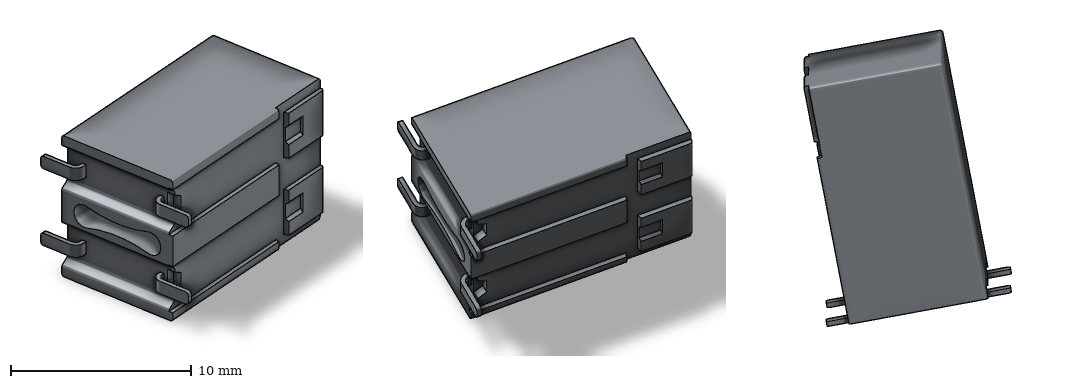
import cadquery as cq
import math

body_width = 7.84
body_length = 13.6
body_height = 9.2
edge_radius = 0.2
front = 0
right_side = body_width / 2

row_pitch = 5.01
row_heights = (-row_pitch / 2, row_pitch / 2)

channel_depth = 0.53
channel_mouth_half = 1.41
channel_floor_half = 1.05
channel_floor_radius = 0.25
channel_mouth_radius = 0.18

side_depth = 0.28
side_recess_half = 1.51
slot_front_outer = 9.53
slot_front_inner = 9.6
slot_rear_inner = 10.32
slot_rear_outer = 10.42
pad_gap = 0.08

groove_depth = 0.18
groove_length = 1.38
groove_outer_half = 0.62
groove_inner_half = 0.46

pocket_width = 0.51
pocket_mouth_half = 0.8
pocket_floor_half = 0.48
pocket_depth = 0.55

dumbbell_half_length = 3.06
dumbbell_end_radius = 0.72
dumbbell_waist_half = 0.4
dumbbell_drop = 0.1
dumbbell_depth = 2.08

pin_span = 10.4
pin_height = 0.8
pin_thickness = 0.28
pin_bend_radius = 0.32
pin_corner_radius = 0.2
pin_leg_inner_x = 2.6
pin_projection = 0.25
pin_embed = 0.28

overrun = 0.14


def box_between(x_range, y_range, z_range):
    """Box given by its lower and upper limit along each axis."""
    sizes = [high - low for low, high in (x_range, y_range, z_range)]
    corner = (x_range[0], y_range[0], z_range[0])
    return cq.Workplane("XY").box(*sizes, centered=False).translate(corner)


def make_body():
    """Block with every edge rounded except those around the front face."""
    body = cq.Workplane("XY").box(body_width, body_length, body_height)
    body = body.translate((0, front + body_length / 2, 0))
    return body.edges("not <Y").fillet(edge_radius)


def make_channel(row_z):
    """Flared channel across the full width, with rounded floor and lips."""
    strip_half = channel_mouth_half + 2 * channel_mouth_radius
    profile = [
        (front - overrun, -strip_half),
        (front, -strip_half),
        (front, -channel_mouth_half),
        (channel_depth, -channel_floor_half),
        (channel_depth, channel_floor_half),
        (front, channel_mouth_half),
        (front, strip_half),
        (front - overrun, strip_half),
    ]
    channel = (
        cq.Workplane("YZ")
        .polyline(profile)
        .close()
        .extrude(body_width / 2 + overrun, both=True)
    )
    for edge_y, edge_z, radius in (
        (channel_depth, channel_floor_half, channel_floor_radius),
        (front, channel_mouth_half, channel_mouth_radius),
    ):
        for side_z in (-edge_z, edge_z):
            corner = cq.selectors.NearestToPointSelector((0, edge_y, side_z))
            channel = channel.edges(corner).fillet(radius)
    return channel.translate((0, 0, row_z))


def make_side_slot():
    """Cross slot with flared ends, running the full height of the right side."""
    outer_x = right_side
    inner_x = right_side - side_depth
    return (
        cq.Workplane("XY")
        .moveTo(inner_x, slot_front_inner)
        .lineTo(outer_x, slot_front_outer)
        .lineTo(outer_x, slot_rear_outer)
        .lineTo(inner_x, slot_rear_inner)
        .close()
        .extrude(body_height / 2 + overrun, both=True)
    )


def make_side_cut():
    """Everything removed from the right side: slot, row recesses, surround of the rear pads."""
    layer_x = (right_side - side_depth, right_side + overrun)
    rear_y = (slot_rear_inner, body_length + overrun)
    all_z = (-body_height / 2 - overrun, body_height / 2 + overrun)
    cut = make_side_slot()
    rear_cut = box_between(layer_x, rear_y, all_z)
    for row_z in row_heights:
        low, high = row_z - side_recess_half, row_z + side_recess_half
        recess_y = (front - overrun, slot_front_outer + overrun)
        cut = cut.union(box_between(layer_x, recess_y, (low, high)))
        rear_cut = rear_cut.cut(
            box_between(layer_x, rear_y, (low, high - pad_gap))
        )
    return cut.union(rear_cut)


def make_pad_groove(row_z):
    """Trapezoidal groove, widest at the outer face of the pad."""
    inner_x = right_side - groove_depth
    end_y = slot_rear_inner + groove_length
    return (
        cq.Workplane("XZ", origin=(0, end_y, row_z))
        .moveTo(right_side, -groove_outer_half)
        .lineTo(right_side, groove_outer_half)
        .lineTo(inner_x, groove_inner_half)
        .lineTo(inner_x, -groove_inner_half)
        .close()
        .extrude(groove_length)
    )


def make_pocket(row_z):
    """Pocket in the channel floor that narrows with depth and opens to the right."""
    outer_x = right_side - side_depth
    return (
        cq.Workplane("YZ", origin=(outer_x - pocket_width, channel_depth, row_z))
        .moveTo(0, -pocket_mouth_half)
        .lineTo(0, pocket_mouth_half)
        .lineTo(pocket_depth, pocket_floor_half)
        .lineTo(pocket_depth, -pocket_floor_half)
        .close()
        .extrude(pocket_width)
    )


def make_dumbbell():
    """Two round ends joined by concave arcs tangent to both of them."""
    end_x = dumbbell_half_length - dumbbell_end_radius
    waist_radius = (end_x**2 + dumbbell_waist_half**2 - dumbbell_end_radius**2) / (
        2 * (dumbbell_end_radius - dumbbell_waist_half)
    )
    tangent_angle = math.asin(end_x / (waist_radius + dumbbell_end_radius))
    tangent_x = waist_radius * math.sin(tangent_angle)
    tangent_z = dumbbell_end_radius * math.cos(tangent_angle)
    return (
        cq.Workplane("XZ", origin=(0, front, -dumbbell_drop))
        .moveTo(-tangent_x, tangent_z)
        .threePointArc((0, dumbbell_waist_half), (tangent_x, tangent_z))
        .threePointArc((dumbbell_half_length, 0), (tangent_x, -tangent_z))
        .threePointArc((0, -dumbbell_waist_half), (-tangent_x, -tangent_z))
        .threePointArc((-dumbbell_half_length, 0), (-tangent_x, tangent_z))
        .close()
        .extrude(-dumbbell_depth)
    )


def make_right_pin(row_z):
    """Pin leaving the channel floor and bending outwards to the right."""
    outer_radius = pin_bend_radius + pin_thickness
    pin_front = front - pin_projection
    bend_x = pin_leg_inner_x + outer_radius
    bend_y = pin_front + outer_radius
    root_y = channel_depth + pin_embed
    tip_x = pin_span / 2
    diagonal = math.sqrt(0.5)
    pin = (
        cq.Workplane("XY")
        .moveTo(pin_leg_inner_x, root_y)
        .lineTo(pin_leg_inner_x, bend_y)
        .threePointArc(
            (bend_x - outer_radius * diagonal, bend_y - outer_radius * diagonal),
            (bend_x, pin_front),
        )
        .lineTo(tip_x, pin_front)
        .lineTo(tip_x, pin_front + pin_thickness)
        .lineTo(bend_x, pin_front + pin_thickness)
        .threePointArc(
            (bend_x - pin_bend_radius * diagonal, bend_y - pin_bend_radius * diagonal),
            (bend_x - pin_bend_radius, bend_y),
        )
        .lineTo(bend_x - pin_bend_radius, root_y)
        .close()
        .extrude(pin_height / 2, both=True)
    )
    pin = pin.faces(">X").edges("|Y").fillet(pin_corner_radius)
    return pin.translate((0, 0, row_z))


result = make_body().cut(make_side_cut()).cut(make_dumbbell())
for row_z in row_heights:
    right_pin = make_right_pin(row_z)
    result = (
        result.cut(make_channel(row_z))
        .cut(make_pocket(row_z))
        .cut(make_pad_groove(row_z))
        .union(right_pin)
        .union(right_pin.mirror("YZ"))
    )